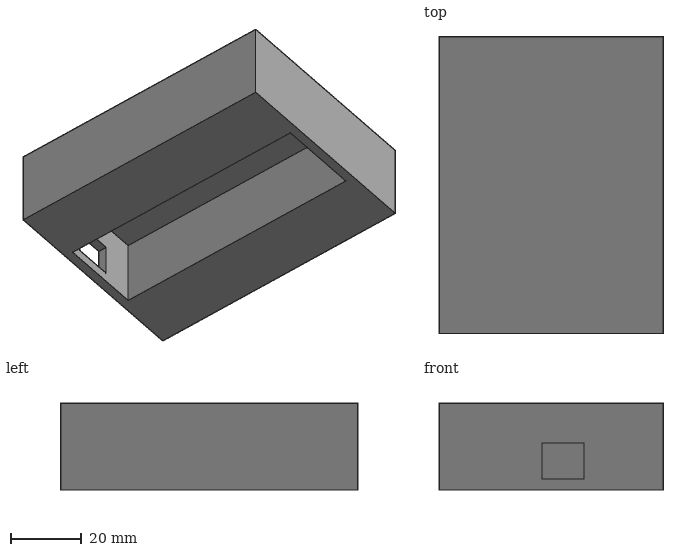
import cadquery as cq

width = 63.6
length = 84.25
height = 24.7
lid_thickness = 3.2
wall = 2.7

opening_width = 12.0
opening_height = 10.1
opening_sill = 3.2
opening_offset = 3.4

cavity_width = 25.3
cavity_length = length - 2 * wall
cavity_height = height - lid_thickness


def upright_block(size_x, size_y, size_z):
    """Block centred in X and Y that rises from Z = 0."""
    return cq.Workplane("XY").box(size_x, size_y, size_z, centered=(True, True, False))


case = upright_block(width, length, height)
cavity = upright_block(cavity_width, cavity_length, cavity_height)

front_wall_middle = (wall - length) / 2
opening = upright_block(opening_width, wall, opening_height).translate(
    (opening_offset, front_wall_middle, opening_sill)
)

result = case.cut(cavity).cut(opening)